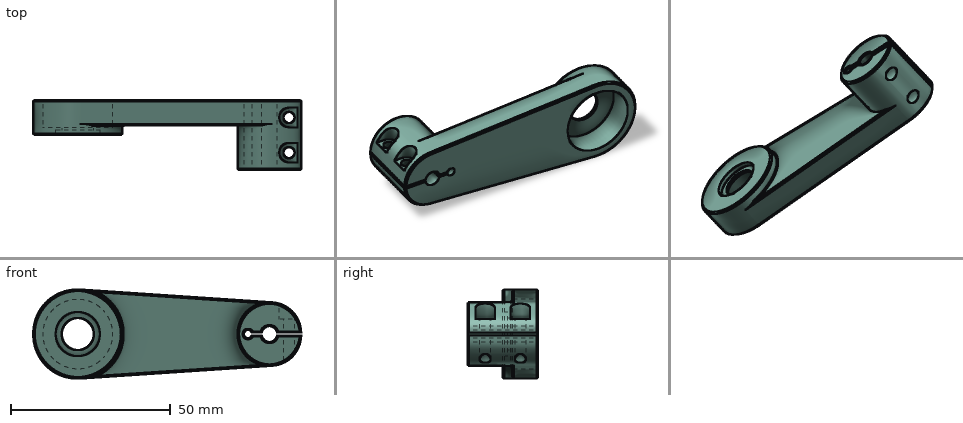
import cadquery as cq
import math

total_length = 84.0
pivot_radius = 28.0 / 2
clamp_radius = 10.0
axis_distance = total_length - pivot_radius - clamp_radius

arm_thickness = 8.0
pivot_length = 11.0
clamp_length = 22.0
edge_chamfer = 0.5

shoulder_width = 0.4
shoulder_height = 0.2

recess_diameter = 13.85
recess_depth = 1.5
web_diameter = 10.0
web_thickness = 0.8
bearing_diameter = 21.8
bearing_depth = pivot_length - recess_depth - web_thickness

shaft_diameter = 4.95
relief_diameter = 2.6
relief_offset = 6.7
slit_width = 0.8
clamp_edge_chamfer = 0.3

screw_diameter = 3.45
screw_offset = 6.1
screw_x = axis_distance + screw_offset
screw_inset = clamp_length / 4
head_diameter = 6.1
head_seat_z = 4.7


def plane_at(y):
    """Sketch on a plane of constant Y; positive extrusion runs towards -Y."""
    return cq.Workplane("XZ", origin=(0, y, 0))


def boss(x, radius, length):
    """Round boss from the back face, chamfered at both rims."""
    return plane_at(0).center(x, 0).circle(radius).extrude(length).edges("%CIRCLE").chamfer(edge_chamfer)


def arm_outline():
    """Trapezoid whose sloping sides are tangent to both bosses."""
    slope = (pivot_radius - clamp_radius) / axis_distance
    rise = math.sqrt(1 - slope**2)
    pivot_x, pivot_z = pivot_radius * slope, pivot_radius * rise
    clamp_x, clamp_z = axis_distance + clamp_radius * slope, clamp_radius * rise
    corners = [(pivot_x, pivot_z), (clamp_x, clamp_z), (clamp_x, -clamp_z), (pivot_x, -pivot_z)]
    return plane_at(0).polyline(corners).close()


def arm():
    """Arm between the bosses, chamfered along its front and back edges."""
    return arm_outline().extrude(arm_thickness).faces("<Y or >Y").edges().chamfer(edge_chamfer)


def pivot_shoulder():
    """Low step around the pivot boss, kept inside the chamfers of the arm."""
    height = arm_thickness + shoulder_height
    disc = plane_at(0).circle(pivot_radius + shoulder_width).extrude(height)
    return disc.intersect(arm_outline().offset2D(-edge_chamfer).extrude(height))


def pivot_bore():
    """Stepped bore through the pivot boss."""
    seat = plane_at(0).circle(bearing_diameter / 2).extrude(bearing_depth)
    web = plane_at(0).circle(web_diameter / 2).extrude(pivot_length)
    recess = plane_at(recess_depth - pivot_length).circle(recess_diameter / 2).extrude(recess_depth)
    return seat.union(web).union(recess)


def clamp_hole(x, diameter):
    """Hole through the clamp with a chamfered front rim."""
    hole = plane_at(0).center(x, 0).circle(diameter / 2).extrude(clamp_length)
    rim = (
        plane_at(-clamp_length)
        .center(x, 0)
        .circle(diameter / 2 + clamp_edge_chamfer)
        .extrude(-clamp_edge_chamfer, taper=45)
    )
    return hole.union(rim)


def clamp_slit():
    """Slit from the relief hole out past the clamp, with chamfered front edges."""
    length = relief_offset + clamp_radius + 2 * edge_chamfer
    middle_x = axis_distance - relief_offset + length / 2
    slit = plane_at(0).center(middle_x, 0).rect(length, slit_width).extrude(clamp_length)
    rim = (
        plane_at(-clamp_length)
        .center(middle_x, 0)
        .rect(length, slit_width + 2 * clamp_edge_chamfer)
        .extrude(-clamp_edge_chamfer, taper=45)
    )
    return slit.union(rim)


def clamp_screw(y):
    """Vertical screw hole with its head seat above."""
    hole = cq.Workplane("XY").center(screw_x, y).circle(screw_diameter / 2).extrude(clamp_radius, both=True)
    head_radius = head_diameter / 2
    head_seat = (
        cq.Workplane("XY", origin=(screw_x, y, head_seat_z))
        .moveTo(clamp_radius, head_radius)
        .lineTo(0, head_radius)
        .threePointArc((-head_radius, 0), (0, -head_radius))
        .lineTo(clamp_radius, -head_radius)
        .close()
        .extrude(clamp_radius)
    )
    return hole.union(head_seat)



result = arm().union(pivot_shoulder())
result = result.union(boss(0, pivot_radius, pivot_length))
result = result.union(boss(axis_distance, clamp_radius, clamp_length))

result = result.cut(pivot_bore())
result = result.cut(clamp_hole(axis_distance, shaft_diameter))
result = result.cut(clamp_hole(axis_distance - relief_offset, relief_diameter))
result = result.cut(clamp_slit())
for screw_y in (-screw_inset, screw_inset - clamp_length):
    result = result.cut(clamp_screw(screw_y))

result = result.translate((pivot_radius - total_length / 2, 0, 0))